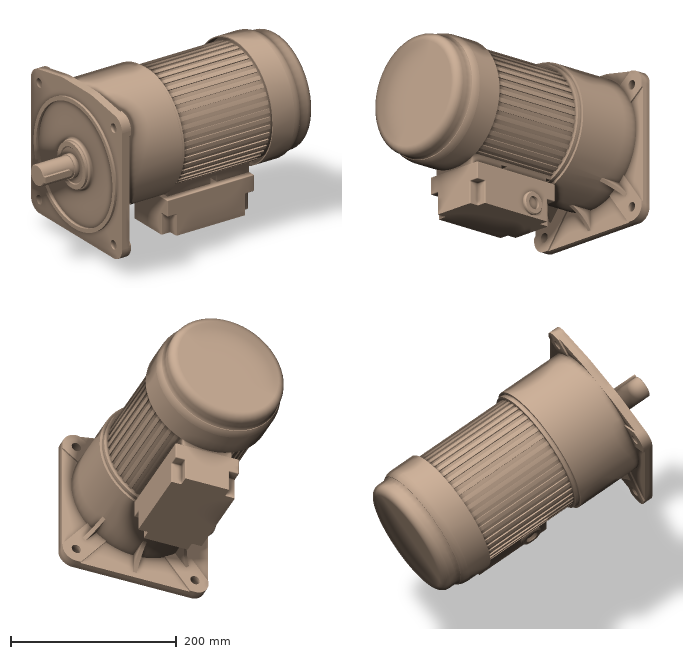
import cadquery as cq
import math


shaft_tip_y = -58.0
collar_front_y = -12.8
hub_front_y = -7.5
pilot_front_y = -3.2
hub_neck_y = -4.0
pilot_recess_y = 1.0
flange_back_y = 11.0
pad_back_y = 13.0
housing_back_y = 97.7
frame_front_y = 103.0
cover_front_y = 232.7
cover_back_y = 297.5

motor_axis_z = 20.5
housing_radius = 83.5
spigot_radius = 80.0
flange_half = 95.75
hole_offset = 77.8
hole_diameter = 12.0
corner_radius = flange_half - hole_offset
flange_top_z = motor_axis_z + housing_radius
flange_top_half = 30.2
flange_shoulder_z = 92.7
shoulder_blend_radius = 57.0
pilot_radius = 85.3
pilot_recess_radius = 80.0
hub_radius = 30.0
hub_foot_fillet = 2.0
hub_shoulder_round = 2.0
seal_radius = 22.7
seal_depth = 1.0
pad_width = 32.0
pad_reach = 2 * flange_half

rib_thickness = 5.0
rib_spread = 40
rib_back_y = 41.5
rib_middle_y = 27.0
rib_middle_radius = 92.0
rib_tip_radius = 108.7
rib_root_radius = 78.0

shaft_radius = 14.05
shaft_chamfer = 1.0
collar_radius = 15.3
key_back_y = -18.0
key_width = 8.0
key_top = 17.0

frame_radius = 75.7
fin_count = 45
fin_height = 1.8
fin_embed = 3.5
rail_half_width = 32.0
rail_bottom_z = -53.0

cover_radius = 81.0
cover_wall = 1.5
cover_lip_depth = 10.5
frame_back_y = cover_front_y + cover_lip_depth
cap_radius = 75.7
cap_round = 9.5
band_back_y = 265.0
cover_shoulder_y = 274.5
cover_shoulder_radius = 77.8
cover_round_middle = (80.0, 270.5)
cap_front_y = 280.0
flare_radius = 77.0
flare_middle = (76.0, 277.0)

box_half_width = 41.5
box_front_y = 105.0
box_bottom_z = -112.0
box_top_z = -61.5
box_edge_fillet = 1.0
notch_size = 12.8
notch_height = 28.5
pad_spans = [(111.5, 175.0), (184.5, 231.5)]
gland_y = 143.5
gland_z = -95.0
gland_radius = 14.5
gland_hole_radius = 8.0
gland_length = 4.3
gland_chamfer = 1.5


def cylinder(radius, start_y, end_y, center_z=0.0):
    """Round bar along Y between two stations."""
    face = cq.Workplane("XZ", origin=(0, start_y, 0)).center(0, center_z).circle(radius)
    return face.extrude(start_y - end_y)


def block(x_span, y_span, z_span):
    """Box given by its limits along each axis."""
    spans = (x_span, y_span, z_span)
    sizes = [high - low for low, high in spans]
    middle = tuple((low + high) / 2 for low, high in spans)
    return cq.Workplane("XY").box(*sizes).translate(middle)


def flange_plate(back_y):
    """Flange outline with a gabled top, from the mounting face to back_y."""
    outline = [
        (-flange_half, -flange_half),
        (flange_half, -flange_half),
        (flange_half, flange_shoulder_z),
        (flange_top_half, flange_top_z),
        (-flange_top_half, flange_top_z),
        (-flange_half, flange_shoulder_z),
    ]
    plate = cq.Workplane("XZ").polyline(outline).close().extrude(-back_y)
    plate = plate.edges("|Y and (<X or >X)").fillet(corner_radius)
    return plate.faces(">Z").edges("|Y").fillet(shoulder_blend_radius)


def corner_pads():
    """Bars from the motor axis across each bolt hole that thicken the flange, trimmed to its outline."""
    thick_plate = flange_plate(pad_back_y)
    pads = []
    for x in (-hole_offset, hole_offset):
        for z in (-hole_offset, hole_offset):
            angle = math.degrees(math.atan2(z - motor_axis_z, x))
            bar = block((0, pad_reach), (0, pad_back_y), (-pad_width / 2, pad_width / 2))
            bar = bar.rotate((0, 0, 0), (0, 1, 0), -angle).translate((0, 0, motor_axis_z))
            pads.append(thick_plate.intersect(bar))
    return pads


def gusset_rib(angle):
    """Curved web from the housing down to the flange, turned from straight down about the motor axis."""
    profile = (
        cq.Workplane("YZ", origin=(-rib_thickness / 2, 0, 0))
        .moveTo(0, -rib_root_radius)
        .lineTo(rib_back_y, -rib_root_radius)
        .lineTo(rib_back_y, -housing_radius)
        .threePointArc((rib_middle_y, -rib_middle_radius), (flange_back_y, -rib_tip_radius))
        .lineTo(0, -rib_tip_radius)
        .close()
    )
    rib = profile.extrude(rib_thickness)
    return rib.rotate((0, 0, 0), (0, 1, 0), angle).translate((0, 0, motor_axis_z))


def make_gear_housing():
    body = flange_plate(flange_back_y)
    for pad in corner_pads():
        body = body.union(pad)
    body = body.union(cylinder(housing_radius, 0, housing_back_y, motor_axis_z))
    body = body.union(cylinder(spigot_radius, housing_back_y, frame_front_y, motor_axis_z))
    for angle in (-rib_spread, 0, rib_spread):
        body = body.union(gusset_rib(angle))
    body = body.union(cylinder(pilot_radius, pilot_front_y, flange_back_y))
    body = body.cut(cylinder(pilot_recess_radius, pilot_front_y, pilot_recess_y))
    body = body.union(make_hub())
    body = body.cut(cylinder(collar_radius, hub_front_y, flange_back_y))
    corners = [(x, z) for x in (-hole_offset, hole_offset) for z in (-hole_offset, hole_offset)]
    holes = cq.Workplane("XZ").pushPoints(corners).circle(hole_diameter / 2).extrude(-pad_back_y)
    return body.cut(holes)


def make_hub():
    """Shaft hub with a filleted foot, a rounded shoulder and a flared seal recess in its face."""
    step_radius = hub_radius + hub_shoulder_round
    step_y = hub_neck_y + hub_shoulder_round
    foot_radius = step_radius + hub_foot_fillet
    foot_y = pilot_recess_y - hub_foot_fillet
    round_bend = hub_shoulder_round * (1 - math.sqrt(0.5))
    foot_bend = hub_foot_fillet * (1 - math.sqrt(0.5))
    profile = (
        cq.Workplane("XY")
        .moveTo(0, hub_front_y + seal_depth)
        .lineTo(seal_radius, hub_front_y + seal_depth)
        .lineTo(seal_radius + seal_depth, hub_front_y)
        .lineTo(hub_radius, hub_front_y)
        .lineTo(hub_radius, hub_neck_y)
        .threePointArc((step_radius - round_bend, hub_neck_y + round_bend), (step_radius, step_y))
        .lineTo(step_radius, foot_y)
        .threePointArc((step_radius + foot_bend, pilot_recess_y - foot_bend), (foot_radius, pilot_recess_y))
        .lineTo(foot_radius, flange_back_y)
        .lineTo(0, flange_back_y)
        .close()
    )
    return profile.revolve(360, (0, 0, 0), (0, 1, 0))


def make_output_shaft():
    shaft = cylinder(shaft_radius, shaft_tip_y, collar_front_y).faces("<Y").chamfer(shaft_chamfer)
    shaft = shaft.union(cylinder(collar_radius, collar_front_y, flange_back_y))
    half_key = key_width / 2
    key_round_y = key_back_y - half_key
    shaft = shaft.union(block((0, key_top), (shaft_tip_y, key_round_y), (-half_key, half_key)))
    return shaft.union(cq.Workplane("YZ").center(key_round_y, 0).circle(half_key).extrude(key_top))


def make_motor_frame():
    """Finned barrel whose smooth core runs on past the fins into the fan cover."""
    root_radius = frame_radius - fin_height
    fin_angle = 360 / fin_count
    fin_blank = cylinder(frame_radius, frame_front_y, cover_front_y)
    half_fin = math.radians(fin_angle / 4)
    reach_x = 2 * frame_radius
    reach_z = reach_x * math.tan(half_fin)
    wedge = (
        cq.Workplane("XZ", origin=(0, frame_front_y, 0))
        .polyline([(0, 0), (reach_x, reach_z), (reach_x, -reach_z)])
        .close()
        .extrude(frame_front_y - cover_front_y)
    )
    fin = fin_blank.intersect(wedge).cut(cylinder(root_radius - fin_embed, frame_front_y, cover_front_y))
    fins = [fin.rotate((0, 0, 0), (0, 1, 0), 180 + i * fin_angle).val() for i in range(fin_count)]
    core = cylinder(root_radius, frame_front_y, frame_back_y).val()
    frame = cq.Workplane(core.fuse(*fins)).translate((0, 0, motor_axis_z))

    length = (frame_front_y, cover_front_y)
    flat_length = (frame_front_y, frame_back_y)
    width = (-rail_half_width, rail_half_width)
    frame = frame.union(block(width, length, (rail_bottom_z, 0)))
    return frame.cut(block(width, flat_length, (rail_bottom_z - frame_radius, rail_bottom_z)))


def make_fan_cover():
    bend = cap_round * (1 - math.sqrt(0.5))
    profile = (
        cq.Workplane("XY")
        .moveTo(0, frame_back_y)
        .lineTo(cover_radius - cover_wall, frame_back_y)
        .lineTo(cover_radius - cover_wall, cover_front_y)
        .lineTo(cover_radius, cover_front_y)
        .lineTo(cover_radius, band_back_y)
        .threePointArc(cover_round_middle, (cover_shoulder_radius, cover_shoulder_y))
        .lineTo(flare_radius, cover_shoulder_y)
        .threePointArc(flare_middle, (cap_radius, cap_front_y))
        .lineTo(cap_radius, cover_back_y - cap_round)
        .threePointArc((cap_radius - bend, cover_back_y - bend), (cap_radius - cap_round, cover_back_y))
        .lineTo(0, cover_back_y)
        .close()
    )
    return profile.revolve(360, (0, 0, 0), (0, 1, 0)).translate((0, 0, motor_axis_z))


def make_terminal_box():
    width = (-box_half_width, box_half_width)
    box = block(width, (box_front_y, cover_front_y), (box_bottom_z, box_top_z))
    notch_top = box_bottom_z + notch_height
    for x in (-box_half_width, box_half_width):
        for y in (box_front_y, cover_front_y):
            notch = block(
                (x - notch_size, x + notch_size),
                (y - notch_size, y + notch_size),
                (box_bottom_z, notch_top),
            )
            box = box.cut(notch)
    box = box.edges("not <Z").fillet(box_edge_fillet)
    for span in pad_spans:
        box = box.union(block((-rail_half_width, rail_half_width), span, (box_top_z, rail_bottom_z)))
    return add_cable_gland(box)


def add_cable_gland(box):
    """Chamfered ring on the -X side, open down to the box wall."""
    side = cq.Workplane("YZ", origin=(-box_half_width, 0, 0)).center(gland_y, gland_z)
    ring = side.circle(gland_radius).extrude(-gland_length).faces("<X").chamfer(gland_chamfer)
    mouth = side.workplane(offset=-gland_length).circle(gland_hole_radius)
    return box.union(ring).cut(mouth.extrude(gland_length))


gear_housing = make_gear_housing()
output_shaft = make_output_shaft()
motor_frame = make_motor_frame()
fan_cover = make_fan_cover()
terminal_box = make_terminal_box()

result = cq.Compound.makeCompound([
    gear_housing.val(),
    output_shaft.val(),
    motor_frame.val(),
    fan_cover.val(),
    terminal_box.val(),
])